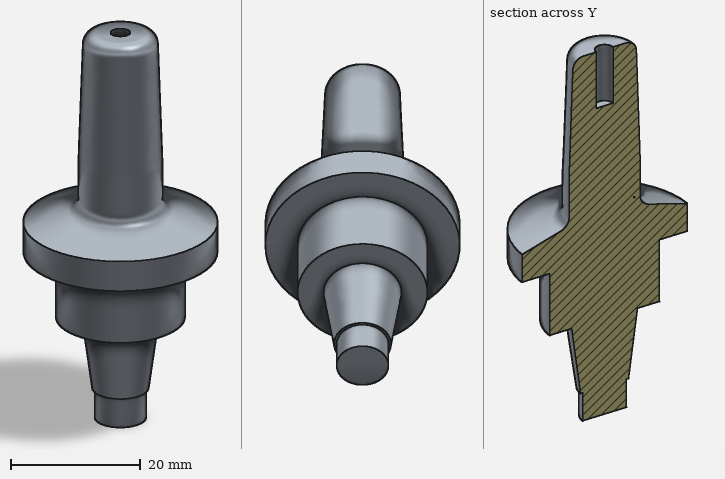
import cadquery as cq
import math

pin_top = 5.0
lower_taper_top = 17.0
spigot_top = 28.0
flange_top = 33.0
neck_bottom = 37.0
upper_taper_bottom = 43.5
total_height = 65.0

pin_diameter = 8.0
lower_taper_small_diameter = 8.8
lower_taper_large_diameter = 12.0
spigot_diameter = 20.0
flange_diameter = 30.0
neck_diameter = 13.0
nose_diameter = 11.5
bore_diameter = 3.0

neck_fillet = 2.0
nose_fillet = 2.0
bore_depth = 10.0


def turned_body():
    """Revolve the stepped half-profile about the Z axis."""
    neck_radius = neck_diameter / 2
    flange_radius = flange_diameter / 2

    centre_x = neck_radius + neck_fillet
    run = flange_radius - centre_x
    drop = neck_bottom - flange_top
    tangent_offset = math.asin(neck_fillet / math.hypot(run, drop))
    cone_angle = math.atan2(drop, run) - tangent_offset

    def fillet_point(angle):
        return (centre_x - neck_fillet * math.sin(angle), neck_bottom - neck_fillet * math.cos(angle))

    cone_end = fillet_point(cone_angle)
    fillet_middle = fillet_point((cone_angle + math.pi / 2) / 2)

    profile = (
        cq.Workplane("XZ")
        .lineTo(pin_diameter / 2, 0)
        .lineTo(pin_diameter / 2, pin_top)
        .lineTo(lower_taper_small_diameter / 2, pin_top)
        .lineTo(lower_taper_large_diameter / 2, lower_taper_top)
        .lineTo(spigot_diameter / 2, lower_taper_top)
        .lineTo(spigot_diameter / 2, spigot_top)
        .lineTo(flange_radius, spigot_top)
        .lineTo(flange_radius, flange_top)
        .lineTo(*cone_end)
        .threePointArc(fillet_middle, (neck_radius, neck_bottom))
        .lineTo(neck_radius, upper_taper_bottom)
        .lineTo(nose_diameter / 2, total_height)
        .lineTo(0, total_height)
        .close()
    )
    return profile.revolve(360, (0, 0, 0), (0, 1, 0))


def top_bore():
    """Blind axial bore, open at the nose."""
    bore = cq.Workplane("XY").workplane(offset=total_height - bore_depth)
    return bore.circle(bore_diameter / 2).extrude(bore_depth)


body = turned_body().faces(">Z").edges().fillet(nose_fillet)
result = body.cut(top_bore())